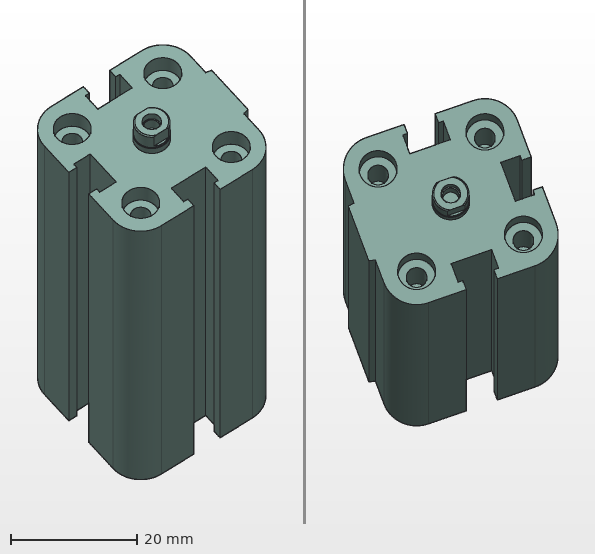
import cadquery as cq

total_height = 72.5
body_width = 29.0
body_depth = 30.0
rod_length = 4.5
body_height = total_height - rod_length
half_width = body_width / 2

hole_offset = 9.0
corner_radius = half_width - hole_offset
slot_mouth_width = 5.2
slot_inner_width = 6.8
slot_lip_thickness = 1.6
slot_depth = 4.85
rib_height = body_depth - body_width
rib_base_width = 10.0
rib_top_width = 9.6

counterbore_diameter = 6.0
counterbore_depth = 3.5
hole_diameter = 3.25
hole_depth = 12.5

collar_diameter = 6.0
collar_height = 1.45
neck_diameter = 5.8
collar_chamfer = (collar_diameter - neck_diameter) / 2
flats_width = 5.0
flats_start = 1.8
tip_chamfer = 0.2
socket_diameter = 3.05
socket_depth = 1.4
bore_diameter = 2.6
bore_depth = 3.6


def make_slot(angle):
    """T-slot along the full height, cut into the -Y side and turned about Z."""
    mouth = cq.Workplane("XY").box(
        slot_mouth_width, slot_depth, body_height, centered=(True, False, False)
    )
    inner = (
        cq.Workplane("XY")
        .box(slot_inner_width, slot_depth - slot_lip_thickness, body_height, centered=(True, False, False))
        .translate((0, slot_lip_thickness, 0))
    )
    slot = mouth.union(inner).translate((0, -half_width, 0))
    return slot.rotate((0, 0, 0), (0, 0, 1), angle)


def make_housing():
    housing = (
        cq.Workplane("XY")
        .rect(body_width, body_width)
        .extrude(body_height)
        .edges("|Z")
        .fillet(corner_radius)
    )

    rib = (
        cq.Workplane("XY")
        .polyline([
            (-rib_base_width / 2, 0),
            (-rib_base_width / 2, half_width),
            (-rib_top_width / 2, half_width + rib_height),
            (rib_top_width / 2, half_width + rib_height),
            (rib_base_width / 2, half_width),
            (rib_base_width / 2, 0),
        ])
        .close()
        .extrude(body_height)
    )
    housing = housing.union(rib)

    for angle in (0, 90, -90):
        housing = housing.cut(make_slot(angle))

    return (
        housing.faces(">Z")
        .workplane(origin=(0, 0, body_height))
        .rect(2 * hole_offset, 2 * hole_offset, forConstruction=True)
        .vertices()
        .cboreHole(hole_diameter, counterbore_diameter, counterbore_depth, hole_depth)
    )


def make_rod():
    collar = (
        cq.Workplane("XY")
        .circle(collar_diameter / 2)
        .extrude(collar_height)
        .faces(">Z")
        .chamfer(collar_chamfer)
    )
    neck = (
        cq.Workplane("XY")
        .circle(neck_diameter / 2)
        .extrude(rod_length)
        .faces(">Z")
        .chamfer(tip_chamfer)
    )

    flats_length = rod_length - flats_start
    for side in (-1, 1):
        waste = (
            cq.Workplane("XY")
            .box(neck_diameter, 2 * neck_diameter, flats_length, centered=(True, True, False))
            .translate((side * (flats_width + neck_diameter) / 2, 0, flats_start))
        )
        neck = neck.cut(waste)

    rod = (
        collar.union(neck)
        .faces(">Z")
        .workplane(origin=(0, 0, rod_length))
        .cboreHole(bore_diameter, socket_diameter, socket_depth, bore_depth)
    )
    return rod.translate((0, 0, body_height))


housing = make_housing()
rod = make_rod()

result = cq.Compound.makeCompound([housing.val(), rod.val()])